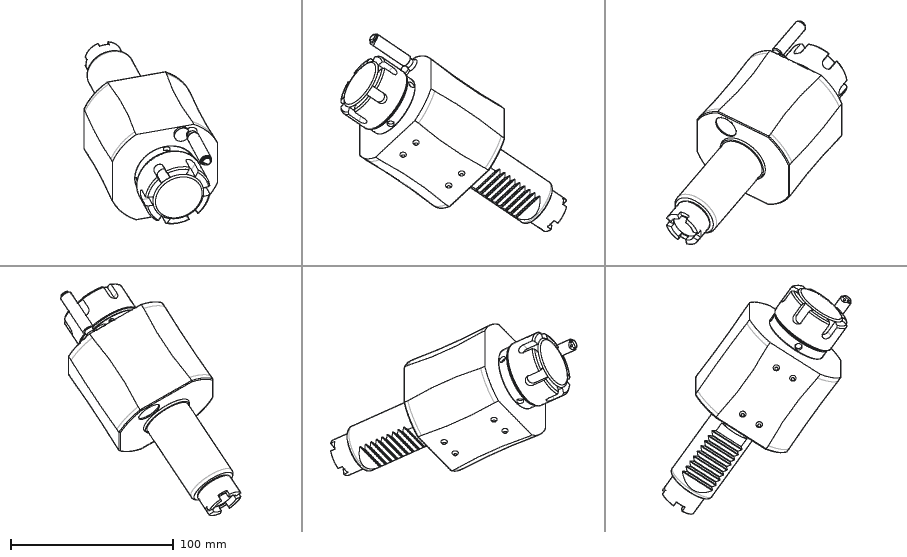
import cadquery as cq
import math


overall_length = 161.8
drive_end = 13.1
shank_start = 13.8
shank_round_end = 15.9
collar_start = 67.5
housing_start = 69.0
housing_length = 60.0
housing_end = housing_start + housing_length

drive_radius = 12.0
drive_neck_radius = 11.3
drive_recess_radius = 8.4
drive_slot_depth = 3.0
drive_recess_depth = 3.7
drive_slot_outer_width = 6.5
drive_slot_inner_width = 5.2
drive_slot_count = 4

shank_radius = 15.0
shank_nose_radius = 13.9
collar_nose_radius = 16.0
collar_radius = 16.5

rack_root_z = -10.2
rack_tooth_height = 1.6
rack_pitch = 4.0
rack_flat = (rack_pitch - 2 * rack_tooth_height) / 2
rack_tooth_count = 8
rack_start = 21.4
rack_end = 62.0

housing_width = 68.0
housing_height = 64.1
barrel_end_radius = 37.0
barrel_waist_radius = 36.2
barrel_land = 3.0
housing_chamfer = 0.6

plug_y = 12.5
plug_z = 21.8
plug_radius = 7.5
plug_depth = 0.8

stud_x_positions = (80.5, 117.3)
stud_y_offset = 6.1
stud_base_radius = 2.0
stud_tip_radius = 1.0
stud_height = 1.5

ring_start = 129.5
ring_end = 136.3
ring_radius = 19.9
ring_chamfer = 0.5
ring_neck_radius = 16.5
ring_hole_x = 132.7
ring_hole_radius = 2.1
ring_hole_depth = 2.5
ring_hole_count = 4
nut_start = 137.0
nut_radius = 21.0
nut_chamfer = 0.5
nut_cylinder_end = 155.2
nut_shoulder_x = 156.3
nut_shoulder_radius = 19.9
nut_rim_x = 156.7
nut_rim_radius = 16.3
nut_end = 157.6
nut_face_radius = 15.0

nut_slot_count = 6
nut_slot_width = 6.5
nut_slot_floor_radius = nut_rim_radius
nut_slot_start = 145.5
nut_long_slot_start = 143.9
nut_long_slot_angle = 60.0

pipe_y = 16.7
pipe_z = 26.0
pipe_radius = 3.7
pipe_start = 134.0
pipe_chamfer = 0.5
pipe_foot_radius = 4.0
pipe_foot_end = 131.1
pipe_neck_radius = 2.9
pipe_tip_radius = 2.6
pipe_tip_length = 1.0
bevel_length = 2.6
nozzle_radius = 0.6
nozzle_depth = 2.5
screw_y = 10.5
screw_z = 26.9
screw_radius = 4.9
screw_height = 1.5


def turned(points):
    """Solid of revolution about X from (x, radius) points, closed along the axis."""
    outline = [(points[0][0], 0)] + points + [(points[-1][0], 0)]
    return cq.Workplane("XY").polyline(outline).close().revolve(360, (0, 0, 0), (1, 0, 0))


def rod(x, y, z, radius, length):
    """Cylinder parallel to X, starting at the given point."""
    return cq.Workplane("YZ", origin=(x, y, z)).circle(radius).extrude(length)


def make_drive_end():
    drive = turned([
        (0, drive_radius),
        (drive_end, drive_radius),
        (drive_end, drive_neck_radius),
        (shank_start, drive_neck_radius),
    ])
    drive = drive.cut(rod(0, 0, 0, drive_recess_radius, drive_recess_depth))
    taper = (drive_slot_outer_width - drive_slot_inner_width) / 2 / (drive_radius - drive_recess_radius)
    overshoot = 0.8
    half_outer = drive_slot_outer_width / 2 + taper * overshoot
    half_inner = drive_slot_inner_width / 2 - taper * overshoot
    outer_z = drive_radius + overshoot
    inner_z = drive_recess_radius - overshoot
    slot = cq.Workplane("YZ").polyline([
        (-half_outer, outer_z),
        (half_outer, outer_z),
        (half_inner, inner_z),
        (-half_inner, inner_z),
    ]).close().extrude(drive_slot_depth)
    for i in range(drive_slot_count):
        drive = drive.cut(slot.rotate((0, 0, 0), (1, 0, 0), i * 360 / drive_slot_count))
    return drive


def make_shank():
    bulge = math.sqrt(0.5)
    round_length = shank_round_end - shank_start
    round_height = shank_radius - shank_nose_radius
    round_middle = (
        shank_round_end - bulge * round_length,
        shank_nose_radius + bulge * round_height,
    )
    shank = (
        cq.Workplane("XY")
        .moveTo(shank_start, 0)
        .lineTo(shank_start, shank_nose_radius)
        .threePointArc(round_middle, (shank_round_end, shank_radius))
        .lineTo(collar_start, shank_radius)
        .lineTo(collar_start, collar_nose_radius)
        .lineTo(housing_start, collar_radius)
        .lineTo(housing_start, 0)
        .close()
        .revolve(360, (0, 0, 0), (1, 0, 0))
    )
    return shank.cut(make_rack_cutter())


def make_rack_cutter():
    """Everything below the serrations: a 45 degree run-in, then a row of teeth."""
    bottom_z = -shank_radius - 1.6
    crest_z = rack_root_z - rack_tooth_height
    outline = [
        (rack_start - (rack_root_z - bottom_z), bottom_z),
        (rack_start, rack_root_z),
    ]
    for i in range(rack_tooth_count + 1):
        root_end = rack_start + rack_flat + i * rack_pitch
        crest_start = root_end + rack_tooth_height
        outline += [(root_end, rack_root_z), (crest_start, crest_z)]
        if i < rack_tooth_count:
            crest_end = crest_start + rack_flat
            outline += [(crest_end, crest_z), (crest_end + rack_tooth_height, rack_root_z)]
    outline += [(rack_end, crest_z), (rack_end, bottom_z)]
    return cq.Workplane("XZ").polyline(outline).close().extrude(shank_radius + 1.6, both=True)


def make_housing():
    block = cq.Workplane("XY").box(
        housing_length, housing_width, housing_height, centered=(False, True, True)
    ).translate((housing_start, 0, 0))
    barrel = (
        cq.Workplane("XY")
        .moveTo(housing_start, 0)
        .lineTo(housing_start, barrel_end_radius)
        .lineTo(housing_start + barrel_land, barrel_end_radius)
        .threePointArc(
            (housing_start + housing_length / 2, barrel_waist_radius),
            (housing_end - barrel_land, barrel_end_radius),
        )
        .lineTo(housing_end, barrel_end_radius)
        .lineTo(housing_end, 0)
        .close()
        .revolve(360, (0, 0, 0), (1, 0, 0))
    )
    housing = block.intersect(barrel).faces("<X").edges().chamfer(housing_chamfer)
    housing = housing.cut(rod(housing_start, plug_y, plug_z, plug_radius, plug_depth))
    for x in stud_x_positions:
        for y in (-stud_y_offset, stud_y_offset):
            stud = cq.Solid.makeCone(
                stud_base_radius, stud_tip_radius, stud_height,
                cq.Vector(x, y, -housing_height / 2), cq.Vector(0, 0, -1),
            )
            housing = housing.union(cq.Workplane(obj=stud))
    return housing


def make_ring():
    ring = turned([
        (housing_end, ring_neck_radius),
        (ring_start, ring_neck_radius),
        (ring_start, ring_radius - ring_chamfer),
        (ring_start + ring_chamfer, ring_radius),
        (ring_end - ring_chamfer, ring_radius),
        (ring_end, ring_radius - ring_chamfer),
        (ring_end, ring_neck_radius),
        (nut_start, ring_neck_radius),
    ])
    hole = (
        cq.Workplane("XY", origin=(ring_hole_x, 0, ring_radius - ring_hole_depth))
        .circle(ring_hole_radius)
        .extrude(2 * ring_hole_depth)
    )
    for i in range(ring_hole_count):
        ring = ring.cut(hole.rotate((0, 0, 0), (1, 0, 0), i * 360 / ring_hole_count))
    return ring


def make_nut_slot(start):
    """Round-ended slot cutter on the -Y side, open towards the front of the nut."""
    half_width = nut_slot_width / 2
    return (
        cq.Workplane("XZ", origin=(0, -nut_slot_floor_radius, 0))
        .moveTo(start + half_width, half_width)
        .threePointArc((start, 0), (start + half_width, -half_width))
        .lineTo(nut_end, -half_width)
        .lineTo(nut_end, half_width)
        .close()
        .extrude(nut_radius)
    )


def make_nut():
    nut = turned([
        (nut_start, nut_radius - nut_chamfer),
        (nut_start + nut_chamfer, nut_radius),
        (nut_cylinder_end, nut_radius),
        (nut_shoulder_x, nut_shoulder_radius),
        (nut_rim_x, nut_rim_radius),
        (nut_end, nut_face_radius),
    ])
    for i in range(nut_slot_count):
        angle = i * 360 / nut_slot_count
        start = nut_long_slot_start if angle == nut_long_slot_angle else nut_slot_start
        nut = nut.cut(make_nut_slot(start).rotate((0, 0, 0), (1, 0, 0), angle))
    return nut


def make_coolant_pipe():
    tip_start = overall_length - pipe_tip_length
    pipe = turned([
        (housing_end, pipe_foot_radius),
        (pipe_foot_end, pipe_neck_radius),
        (pipe_start - pipe_chamfer, pipe_neck_radius),
        (pipe_start, pipe_radius),
        (tip_start - pipe_chamfer, pipe_radius),
        (tip_start, pipe_radius - pipe_chamfer),
        (tip_start, pipe_tip_radius),
        (overall_length, pipe_tip_radius),
    ])
    bevel = (
        cq.Workplane("XZ")
        .polyline([
            (overall_length - bevel_length, -pipe_radius),
            (overall_length, bevel_length - pipe_radius),
            (overall_length, -pipe_radius),
        ])
        .close()
        .extrude(pipe_radius, both=True)
    )
    bevel_center = cq.Vector(overall_length - bevel_length / 2, 0, bevel_length / 2 - pipe_radius)
    nozzle = cq.Solid.makeCylinder(nozzle_radius, nozzle_depth, bevel_center, cq.Vector(-1, 0, 1))
    pipe = pipe.cut(bevel).cut(cq.Workplane(obj=nozzle))
    aim_angle = -math.degrees(math.atan2(pipe_y, pipe_z))
    return pipe.rotate((0, 0, 0), (1, 0, 0), aim_angle).translate((0, pipe_y, pipe_z))


result = (
    make_housing()
    .union(make_shank())
    .union(make_drive_end())
    .union(make_ring())
    .union(make_nut())
    .union(rod(housing_end, screw_y, screw_z, screw_radius, screw_height))
    .union(make_coolant_pipe())
)